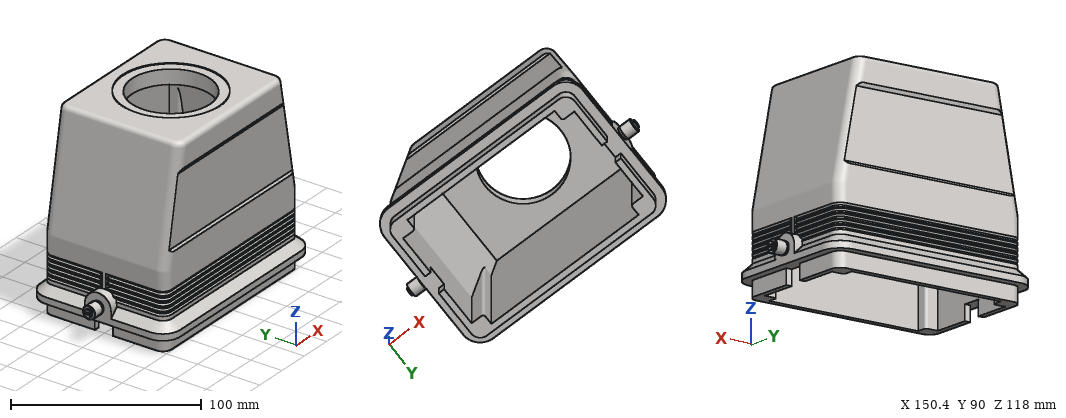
import cadquery as cq
import math

body_length = 120.7
body_width = 79.2
body_height = 118.0
bend_height = 47.3
end_lean = 10.7
bend_radius = 6.0
corner_radius = 5.9
top_edge_radius = 3.0

wall = 3.6
roof = 9.8
pillar_inner_x = 48.8
pillar_inner_y = 29.3
pillar_edge_radius = 1.5

entry_radius = 25.0
seat_radius = 30.9
seat_depth = 0.6

flange_overhang = 5.4
flange_bottom = 9.2
flange_shoulder = 13.2
flange_top = 18.2
slot_width = 11.6

panel_depth = 1.0
panel_bottom = 58.8
panel_top = 100.7
panel_bottom_slope = 1.5
panel_top_slope = 2.3

groove_count = 5
groove_depth = 0.8
groove_mouth = 2.4
first_groove_z = 22.0
last_groove_z = 34.3
groove_pitch = (last_groove_z - first_groove_z) / (groove_count - 1)
web_width = 2.3
web_root_width = 6.6

pin_z = 17.8
boss_radius = 8.5
neck_radius = 3.8
pin_radius = 4.0
pin_chamfer = 0.3
nub_radius = 2.4
pin_start_x = 67.0
pin_end_x = 74.0
nub_end_x = 75.2
nub_slot_width = 1.0
nub_slot_depth = 0.5

flange_length = body_length + 2 * flange_overhang
flange_width = body_width + 2 * flange_overhang
boss_face_x = flange_length / 2
lean = math.radians(end_lean)


def block(length, width, bottom, top):
    """Box centred on the Z axis between two heights."""
    return cq.Workplane("XY").workplane(offset=bottom).rect(length, width).extrude(top - bottom)


def tapered_block(half_length, width, bend_z, top):
    """Block with vertical ends up to bend_z and leaning ends above, blended by an arc."""
    tangent = bend_radius * math.tan(lean / 2)
    top_half = half_length - (top - bend_z) * math.tan(lean)
    arc_mid = (
        half_length - bend_radius * (1 - math.cos(lean / 2)),
        bend_z - tangent + bend_radius * math.sin(lean / 2),
    )
    arc_end = (
        half_length - tangent * math.sin(lean),
        bend_z + tangent * math.cos(lean),
    )
    return (
        cq.Workplane("XZ")
        .moveTo(-half_length, 0)
        .lineTo(half_length, 0)
        .lineTo(half_length, bend_z - tangent)
        .threePointArc(arc_mid, arc_end)
        .lineTo(top_half, top)
        .lineTo(-top_half, top)
        .lineTo(-arc_end[0], arc_end[1])
        .threePointArc((-arc_mid[0], arc_mid[1]), (-half_length, bend_z - tangent))
        .close()
        .extrude(width / 2, both=True)
    )


def corner_edges(solid):
    """Upright edges of a tapered block, including the bent and leaning stretches."""
    return solid.faces("<Y or >Y").edges("not #Z").edges("not <Z").edges("not >Z")


def make_shell():
    """Solid hood body with rounded corners and a rounded top edge."""
    outer = tapered_block(body_length / 2, body_width, bend_height, body_height)
    outer = corner_edges(outer).fillet(corner_radius)
    return outer.faces(">Z").edges().fillet(top_edge_radius)


def make_cavity():
    """Interior following the body at wall thickness, less a pillar in each corner."""
    inner_half = body_length / 2 - wall
    bend_z = bend_height - wall * math.tan(lean / 2)
    inner_width = body_width - 2 * wall
    cavity = tapered_block(inner_half, inner_width, bend_z, body_height - roof)
    pillar_length = body_length / 2 - pillar_inner_x
    pillar_width = body_width / 2 - pillar_inner_y
    for side_x in (-1, 1):
        for side_y in (-1, 1):
            pillar = block(pillar_length, pillar_width, 0, body_height)
            inner_face = "<X" if side_x > 0 else ">X"
            inner_edge = "<Y" if side_y > 0 else ">Y"
            pillar = pillar.faces(inner_face).edges(inner_edge).fillet(pillar_edge_radius)
            cavity = cavity.cut(pillar.translate((
                side_x * (pillar_inner_x + pillar_length / 2),
                side_y * (pillar_inner_y + pillar_width / 2),
                0,
            )))
    return cavity


def make_flange():
    """Skirt around the body with a sloped upper side."""
    flange = block(flange_length, flange_width, flange_bottom, flange_top)
    flange = flange.edges("|Z").fillet(corner_radius + flange_overhang)
    return flange.faces(">Z").chamfer(flange_top - flange_shoulder, flange_overhang)


def cut_panels(solid):
    """Recess the middle of both long faces, with sloped steps above and below."""
    face_y = body_width / 2
    floor_y = face_y - panel_depth
    for side in (-1, 1):
        panel = (
            cq.Workplane("YZ")
            .polyline([
                (side * face_y, panel_bottom - panel_bottom_slope),
                (side * floor_y, panel_bottom),
                (side * floor_y, panel_top),
                (side * face_y, panel_top + panel_top_slope),
            ])
            .close()
            .extrude(body_length / 2, both=True)
        )
        solid = solid.cut(panel)
    return solid


def make_groove_cutter(z):
    """V groove around the body, stopped at the plain strip in the middle of each end."""
    half_mouth = groove_mouth / 2
    taper = math.degrees(math.atan(groove_depth / half_mouth))
    band = block(body_length, body_width, z - half_mouth, z + half_mouth).edges("|Z").fillet(corner_radius)
    lower = band.faces("<Z").wires().toPending().workplane().extrude(-half_mouth, taper=taper, combine=False)
    upper = lower.mirror("XY", (0, 0, z))
    strip = (
        cq.Workplane("XY")
        .workplane(offset=z - half_mouth)
        .polyline([
            (-body_length / 2, -web_width / 2),
            (-body_length / 2 + groove_depth, -web_root_width / 2),
            (body_length / 2 - groove_depth, -web_root_width / 2),
            (body_length / 2, -web_width / 2),
            (body_length / 2, web_width / 2),
            (body_length / 2 - groove_depth, web_root_width / 2),
            (-body_length / 2 + groove_depth, web_root_width / 2),
            (-body_length / 2, web_width / 2),
        ])
        .close()
        .extrude(groove_mouth)
    )
    return band.cut(lower).cut(upper).cut(strip)


def make_boss_and_pin():
    """Rounded boss and turned locking pin on the +X end."""
    boss_root_x = body_length / 2 - wall / 2
    end_plane = cq.Workplane("YZ").workplane(offset=boss_root_x)
    boss_length = boss_face_x - boss_root_x
    boss = end_plane.center(0, pin_z).circle(boss_radius).extrude(boss_length)
    foot_height = pin_z - flange_bottom
    foot = end_plane.center(0, flange_bottom + foot_height / 2).rect(2 * boss_radius, foot_height)
    boss = boss.union(foot.extrude(boss_length))

    pin = (
        cq.Workplane("XZ")
        .polyline([
            (boss_root_x, 0),
            (boss_root_x, neck_radius),
            (pin_start_x, neck_radius),
            (pin_start_x, pin_radius),
            (pin_end_x - pin_chamfer, pin_radius),
            (pin_end_x, pin_radius - pin_chamfer),
            (pin_end_x, nub_radius),
            (nub_end_x, nub_radius),
            (nub_end_x, 0),
        ])
        .close()
        .revolve(360, (0, 0), (1, 0))
        .translate((0, 0, pin_z))
    )
    slot = cq.Workplane("XY").box(2 * nub_slot_depth, 2 * nub_radius, nub_slot_width)
    pin = pin.cut(slot.translate((nub_end_x, 0, pin_z)))
    return boss.union(pin)


shell = cut_panels(make_shell())
for index in range(groove_count):
    shell = shell.cut(make_groove_cutter(first_groove_z + index * groove_pitch))

fitting = make_boss_and_pin()
shell = shell.union(make_flange()).union(fitting).union(fitting.mirror("YZ"))
shell = shell.cut(make_cavity())

shell = shell.cut(block(body_length, slot_width, 0, flange_bottom))

seat = cq.Workplane("XY").workplane(offset=body_height - seat_depth).circle(seat_radius).extrude(seat_depth)
entry = cq.Workplane("XY").workplane(offset=body_height - roof).circle(entry_radius).extrude(roof)
result = shell.cut(seat).cut(entry)